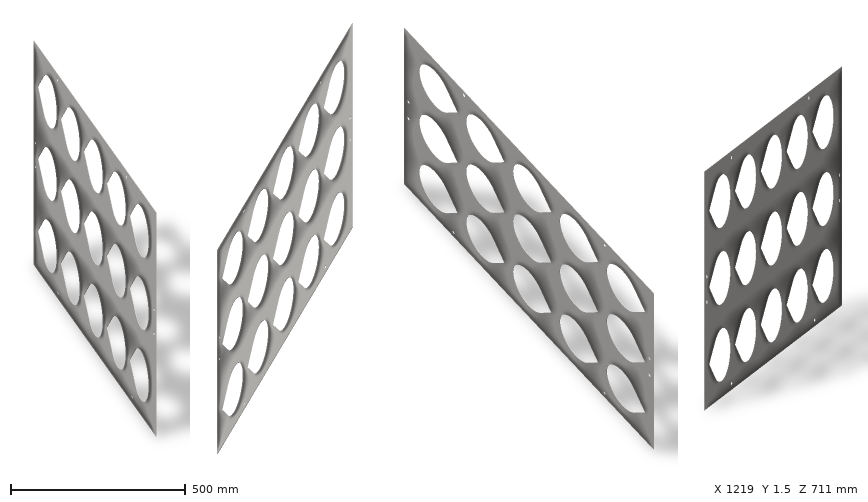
import cadquery as cq
import math

plate_length = 1219.0
plate_height = 711.0
plate_thickness = 1.5

column_count = 5
row_count = 3
first_to_last_column = 915.0
cutout_pitch = first_to_last_column / (column_count - 1)
body_radius = 78.0
tip_distance = 110.0

hole_diameter = 11.0
side_hole_inset = 22.0
side_hole_spacing = 75.0
bottom_hole_inset = 18.0
bottom_hole_offset = 368.0
top_left_hole_inset = 20.0
top_left_hole_offset = 370.0
top_right_hole_inset = 18.0
top_right_hole_offset = 317.0


def make_plate():
    return cq.Workplane("XY").box(plate_length, plate_thickness, plate_height)


def make_teardrop(centre_x, centre_z):
    """Cutter for one teardrop whose round body is centred at the given place."""
    flank_angle = math.asin(body_radius / tip_distance)
    tangent_x = -body_radius * math.sin(flank_angle)
    tangent_z = body_radius * math.cos(flank_angle)
    return (
        cq.Workplane("XZ", origin=(centre_x, 0, centre_z))
        .moveTo(-tip_distance, 0)
        .lineTo(tangent_x, tangent_z)
        .threePointArc((body_radius, 0), (tangent_x, -tangent_z))
        .close()
        .extrude(plate_thickness, both=True)
    )


def make_mounting_holes():
    """Cutters for the side pairs, the bottom pair and the two unevenly placed top holes."""
    side_x = plate_length / 2 - side_hole_inset
    side_z = side_hole_spacing / 2
    edge_z = plate_height / 2
    bottom_z = -edge_z + bottom_hole_inset
    centres = [
        (-side_x, -side_z),
        (-side_x, side_z),
        (side_x, -side_z),
        (side_x, side_z),
        (-bottom_hole_offset, bottom_z),
        (bottom_hole_offset, bottom_z),
        (-top_left_hole_offset, edge_z - top_left_hole_inset),
        (top_right_hole_offset, edge_z - top_right_hole_inset),
    ]
    return (
        cq.Workplane("XZ")
        .pushPoints(centres)
        .circle(hole_diameter / 2)
        .extrude(plate_thickness, both=True)
    )


result = make_plate().cut(make_mounting_holes())
for column in range(column_count):
    for row in range(row_count):
        column_x = (column - (column_count - 1) / 2) * cutout_pitch
        row_z = (row - (row_count - 1) / 2) * cutout_pitch
        result = result.cut(make_teardrop(column_x, row_z))